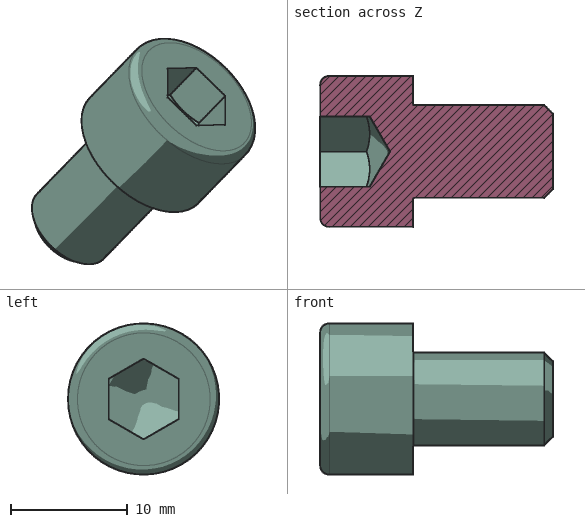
import cadquery as cq
import math

thread_diameter = 8.0
thread_pitch = 1.25
head_diameter = 13.0
head_height = thread_diameter
shank_length = 12.0
head_edge_radius = 0.1 * thread_diameter
neck_radius = 0.1
thread_depth_per_pitch = 0.6134
tip_chamfer = thread_depth_per_pitch * thread_pitch

socket_across_flats = 6.0
socket_across_corners = socket_across_flats / math.cos(math.radians(30))
socket_depth = 4.0
floor_cone_angle = 120.0

head_radius = head_diameter / 2
shank_radius = thread_diameter / 2
arc_midpoint = math.sin(math.radians(45))


def screw_body():
    """Revolve the half profile of head, neck fillet, shank and tip chamfer about X."""
    head_arc_x = -head_height + head_edge_radius
    head_arc_y = head_radius - head_edge_radius
    neck_centre_y = shank_radius + neck_radius
    profile = (
        cq.Workplane("XY")
        .moveTo(-head_height, 0)
        .lineTo(-head_height, head_arc_y)
        .threePointArc(
            (
                head_arc_x - head_edge_radius * arc_midpoint,
                head_arc_y + head_edge_radius * arc_midpoint,
            ),
            (head_arc_x, head_radius),
        )
        .lineTo(0, head_radius)
        .lineTo(0, neck_centre_y)
        .threePointArc(
            (
                neck_radius * (1 - arc_midpoint),
                neck_centre_y - neck_radius * arc_midpoint,
            ),
            (neck_radius, shank_radius),
        )
        .lineTo(shank_length - tip_chamfer, shank_radius)
        .lineTo(shank_length, shank_radius - tip_chamfer)
        .lineTo(shank_length, 0)
        .close()
    )
    return profile.revolve(360, (0, 0, 0), (1, 0, 0))


def hexagon_socket():
    """Hexagonal prism, two corners on the Z axis, ended by a cone reaching its corners."""
    cone_radius = socket_across_corners / 2
    cone_height = cone_radius / math.tan(math.radians(floor_cone_angle / 2))
    hexagon = (
        cq.Workplane("YZ", origin=(-head_height, 0, 0))
        .transformed(rotate=(0, 0, 90))
        .polygon(6, socket_across_corners)
        .extrude(socket_depth + cone_height)
    )
    pointed_cylinder = (
        cq.Workplane("XY", origin=(-head_height, 0, 0))
        .lineTo(0, cone_radius)
        .lineTo(socket_depth, cone_radius)
        .lineTo(socket_depth + cone_height, 0)
        .close()
        .revolve(360, (0, 0, 0), (1, 0, 0))
    )
    return hexagon.intersect(pointed_cylinder)


result = screw_body().cut(hexagon_socket())